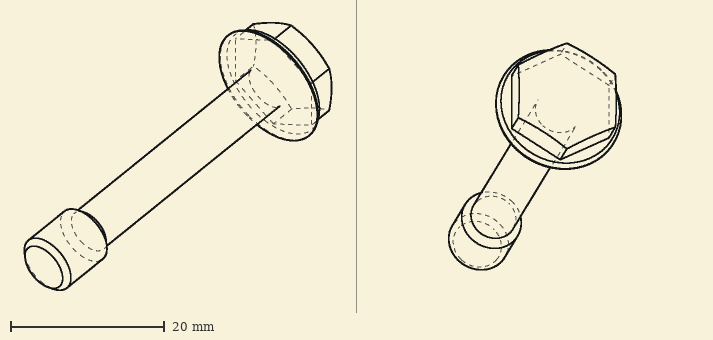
import cadquery as cq
import math

total_length = 51.5
head_height = 6.5
shank_length = total_length - head_height

across_flats = 13.0
across_corners = across_flats / math.cos(math.pi / 6)
dome_drop_at_corners = 1.85
dome_margin = 1.0

flange_diameter = 16.8
flange_top_diameter = 15.9
flange_thickness = 1.0
flange_rim_height = 0.2

shank_diameter = 6.0
neck_fillet = 0.6
collar_diameter = 8.0
collar_length = 9.0
collar_tip_diameter = 6.466
tip_chamfer = (collar_diameter - collar_tip_diameter) / 2
collar_lead_in = (collar_diameter - shank_diameter) / 2


def make_hex():
    """Hexagonal prism with two corners on the Z axis."""
    plane = cq.Plane(origin=(0, 0, 0), xDir=(0, 0, 1), normal=(0, 1, 0))
    return cq.Workplane(plane).polygon(6, across_corners).extrude(head_height)


def make_dome():
    """Solid of revolution under the spherical crown, wider than the hexagon."""
    corner_radius = across_corners / 2
    sphere_radius = (corner_radius**2 + dome_drop_at_corners**2) / (2 * dome_drop_at_corners)
    sphere_centre = head_height - sphere_radius

    def crown_height(radius):
        return sphere_centre + math.sqrt(sphere_radius**2 - radius**2)

    rim_radius = corner_radius + dome_margin
    return (
        cq.Workplane("XY")
        .lineTo(rim_radius, 0)
        .lineTo(rim_radius, crown_height(rim_radius))
        .threePointArc((rim_radius / 2, crown_height(rim_radius / 2)), (0, head_height))
        .close()
        .revolve(360, (0, 0, 0), (0, 1, 0))
    )


def make_flange_and_shank():
    """Flange, neck fillet, shank and chamfered collar as one revolved profile."""
    shank_radius = shank_diameter / 2
    collar_radius = collar_diameter / 2
    tip = -shank_length
    collar_start = tip + collar_length - collar_lead_in
    neck_mid = neck_fillet * (1 - math.sqrt(0.5))
    return (
        cq.Workplane("XY")
        .moveTo(0, flange_thickness)
        .lineTo(flange_top_diameter / 2, flange_thickness)
        .lineTo(flange_diameter / 2, flange_rim_height)
        .lineTo(flange_diameter / 2, 0)
        .lineTo(shank_radius + neck_fillet, 0)
        .threePointArc((shank_radius + neck_mid, -neck_mid), (shank_radius, -neck_fillet))
        .lineTo(shank_radius, tip + collar_length)
        .lineTo(collar_radius, collar_start)
        .lineTo(collar_radius, tip + tip_chamfer)
        .lineTo(collar_tip_diameter / 2, tip)
        .lineTo(0, tip)
        .close()
        .revolve(360, (0, 0, 0), (0, 1, 0))
    )


head = make_hex().intersect(make_dome())
result = make_flange_and_shank().union(head)